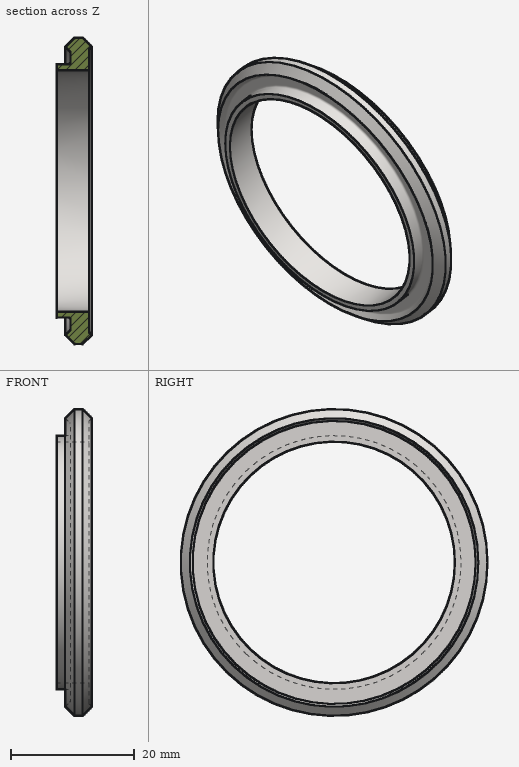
import cadquery as cq
import math

length = 5.7
outer_radius = 24.8
bore_radius = 39.0 / 2
neck_radius = 41.0 / 2
neck_length = 1.4
rim_chamfer = 1.5

back_recess_depth = 0.45

groove_depth = 0.85
groove_wall_angle = math.radians(45)
groove_fillet = 0.35

neck_end_x = -length / 2
back_x = length / 2
flange_x = neck_end_x + neck_length
groove_floor_x = flange_x + groove_depth
face_radius = outer_radius - rim_chamfer
groove_floor_radius = face_radius - groove_depth * math.tan(groove_wall_angle)


def ring_body():
    """Revolve the half section; sketch x is axial and sketch y is radial."""
    section = [
        (neck_end_x, bore_radius),
        (neck_end_x, neck_radius),
        (groove_floor_x, neck_radius),
        (groove_floor_x, groove_floor_radius),
        (flange_x, face_radius),
        (flange_x + rim_chamfer, outer_radius),
        (back_x - rim_chamfer, outer_radius),
        (back_x, face_radius),
        (back_x - back_recess_depth, face_radius - back_recess_depth),
        (back_x - back_recess_depth, bore_radius),
    ]
    return cq.Workplane("XY").polyline(section).close().revolve(360, (0, 0, 0), (1, 0, 0))


def round_groove_floor(body):
    """Fillet both circular edges at the bottom of the groove."""
    margin = 0.05
    floor_zone = cq.selectors.BoxSelector(
        (groove_floor_x - margin, -outer_radius, -outer_radius),
        (groove_floor_x + margin, outer_radius, outer_radius),
    )
    return body.edges("%CIRCLE").edges(floor_zone).fillet(groove_fillet)


result = round_groove_floor(ring_body())